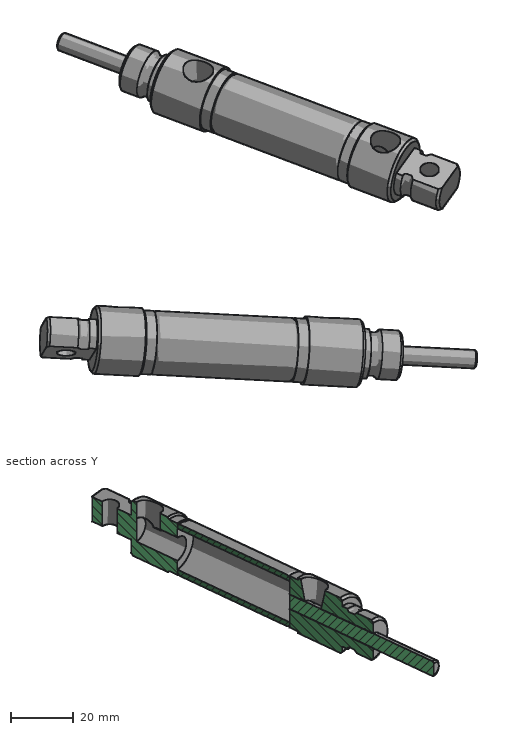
import cadquery as cq

TOTAL_LENGTH = 140.6
FRONT_NECK_START = 24.9
FRONT_GROOVE_START = 31.8
FRONT_SHOULDER = 37.7
FRONT_BODY_END = 56.0
TUBE_START = 59.5
TUBE_END = 105.5
REAR_BODY_START = 108.8
REAR_SHOULDER = 124.5
REAR_GROOVE_START = 127.0

ROD_RADIUS = 3.02
NECK_RADIUS = 8.0
GROOVE_RADIUS = 7.0
BODY_RADIUS = 11.0
TUBE_RADIUS = 10.3
TUBE_BORE_RADIUS = 8.0
REAR_BORE_RADIUS = 4.5

EDGE_CHAMFER = 0.8
ROD_CHAMFER = 0.5
REAR_BODY_RAMP = 0.5
TUBE_RIM_LENGTH = 0.8
TUBE_RIM_DEPTH = 0.7
TUBE_RIM_ROUND = 0.7

GROOVE_WIDTH = 3.7
GROOVE_RAMP = 1.1
GROOVE_ROUND = 0.7

FRONT_PORT_X = 49.8
FRONT_PORT_TOP_RADIUS = 4.9
FRONT_PORT_DRILL_RADIUS = 3.2
REAR_PORT_X = 117.4
REAR_PORT_RADIUS = 4.8

LUG_THICKNESS = 9.8
LUG_HOLE_X = 133.3
LUG_HOLE_RADIUS = 3.02


def x_cylinder(start, end, radius):
    """Solid cylinder along the X axis."""
    return cq.Workplane("YZ", origin=(start, 0, 0)).circle(radius).extrude(end - start)


def revolve_about_x(points):
    """Revolve a closed outline of (x, radius) points about the X axis."""
    outline = cq.Workplane("XZ").polyline(points).close()
    return outline.revolve(360, (0, 0, 0), (1, 0, 0))


def relief_groove(wall_x, ramp_side):
    """Ring cutter with a square wall at wall_x and a ramp on the ramp_side (+1 or -1) end."""
    ramp_top_x = wall_x + ramp_side * GROOVE_WIDTH
    ramp_foot_x = ramp_top_x - ramp_side * GROOVE_RAMP
    ring = revolve_about_x([
        (wall_x, GROOVE_RADIUS),
        (ramp_foot_x, GROOVE_RADIUS),
        (ramp_top_x, NECK_RADIUS),
        (ramp_top_x, BODY_RADIUS),
        (wall_x, BODY_RADIUS),
    ])
    floor_edges = cq.selectors.RadiusNthSelector(0)
    return ring.edges("%CIRCLE").edges(floor_edges).fillet(GROOVE_ROUND)


def make_rod():
    """Piston rod with a chamfered tip, ending level with the inner face of the front cover."""
    return x_cylinder(0, TUBE_START, ROD_RADIUS).faces("<X").chamfer(ROD_CHAMFER)


def front_port():
    """Port cutter: a taper from the top of the front cover to the rod, then a straight drilling."""
    taper_height = BODY_RADIUS - ROD_RADIUS
    taper = cq.Solid.makeCone(
        FRONT_PORT_DRILL_RADIUS,
        FRONT_PORT_TOP_RADIUS,
        taper_height,
        pnt=cq.Vector(FRONT_PORT_X, 0, ROD_RADIUS),
    )
    drilling = (
        cq.Workplane("XY")
        .center(FRONT_PORT_X, 0)
        .circle(FRONT_PORT_DRILL_RADIUS)
        .extrude(ROD_RADIUS)
    )
    return drilling.union(cq.Workplane(obj=taper))


def make_front_cover():
    """Front cover: chamfered neck with relief groove, body, and collar against the tube."""
    cover = revolve_about_x([
        (FRONT_NECK_START, ROD_RADIUS),
        (FRONT_NECK_START, NECK_RADIUS - EDGE_CHAMFER),
        (FRONT_NECK_START + EDGE_CHAMFER, NECK_RADIUS),
        (FRONT_SHOULDER, NECK_RADIUS),
        (FRONT_SHOULDER, BODY_RADIUS - EDGE_CHAMFER),
        (FRONT_SHOULDER + EDGE_CHAMFER, BODY_RADIUS),
        (FRONT_BODY_END, BODY_RADIUS),
        (FRONT_BODY_END, TUBE_RADIUS),
        (TUBE_START, TUBE_RADIUS),
        (TUBE_START, ROD_RADIUS),
    ])
    cover = cover.cut(relief_groove(FRONT_GROOVE_START + GROOVE_WIDTH, -1))
    return cover.cut(front_port())


def make_tube():
    """Cylinder tube with both outer rims rolled inward."""
    rim_radius = TUBE_RADIUS - TUBE_RIM_DEPTH
    tube = revolve_about_x([
        (TUBE_START, TUBE_BORE_RADIUS),
        (TUBE_START, rim_radius),
        (TUBE_START + TUBE_RIM_LENGTH, TUBE_RADIUS),
        (TUBE_END - TUBE_RIM_LENGTH, TUBE_RADIUS),
        (TUBE_END, rim_radius),
        (TUBE_END, TUBE_BORE_RADIUS),
    ])
    outer_edges = cq.selectors.RadiusNthSelector(-1)
    return tube.edges("%CIRCLE").edges(outer_edges).fillet(TUBE_RIM_ROUND)


def lug_trim():
    """Block that flattens the upper side of the rear neck."""
    length = TOTAL_LENGTH - REAR_SHOULDER
    height = BODY_RADIUS - LUG_THICKNESS / 2
    middle_x = REAR_SHOULDER + length / 2
    middle_z = LUG_THICKNESS / 2 + height / 2
    return (
        cq.Workplane("XY")
        .box(length, 2 * BODY_RADIUS, height)
        .translate((middle_x, 0, middle_z))
    )


def make_rear_cover():
    """Rear cover: collar against the tube, body with port and bore, and flat mounting lug."""
    cover = revolve_about_x([
        (TUBE_END, 0),
        (TUBE_END, TUBE_RADIUS),
        (REAR_BODY_START, TUBE_RADIUS),
        (REAR_BODY_START + REAR_BODY_RAMP, BODY_RADIUS),
        (REAR_SHOULDER - EDGE_CHAMFER, BODY_RADIUS),
        (REAR_SHOULDER, BODY_RADIUS - EDGE_CHAMFER),
        (REAR_SHOULDER, NECK_RADIUS),
        (TOTAL_LENGTH - EDGE_CHAMFER, NECK_RADIUS),
        (TOTAL_LENGTH, NECK_RADIUS - EDGE_CHAMFER),
        (TOTAL_LENGTH, 0),
    ])
    cover = cover.cut(relief_groove(REAR_GROOVE_START, 1))

    upper_trim = lug_trim()
    cover = cover.cut(upper_trim).cut(upper_trim.mirror("XY"))
    lug_hole = (
        cq.Workplane("XY")
        .center(LUG_HOLE_X, 0)
        .circle(LUG_HOLE_RADIUS)
        .extrude(LUG_THICKNESS, both=True)
    )
    cover = cover.cut(lug_hole)

    bore = x_cylinder(TUBE_END, REAR_PORT_X + REAR_PORT_RADIUS, REAR_BORE_RADIUS)
    port = cq.Workplane("XY").center(REAR_PORT_X, 0).circle(REAR_PORT_RADIUS).extrude(BODY_RADIUS)
    return cover.cut(bore).cut(port)


rod = make_rod()
front_cover = make_front_cover()
tube = make_tube()
rear_cover = make_rear_cover()

result = cq.Compound.makeCompound([rod.val(), front_cover.val(), tube.val(), rear_cover.val()])